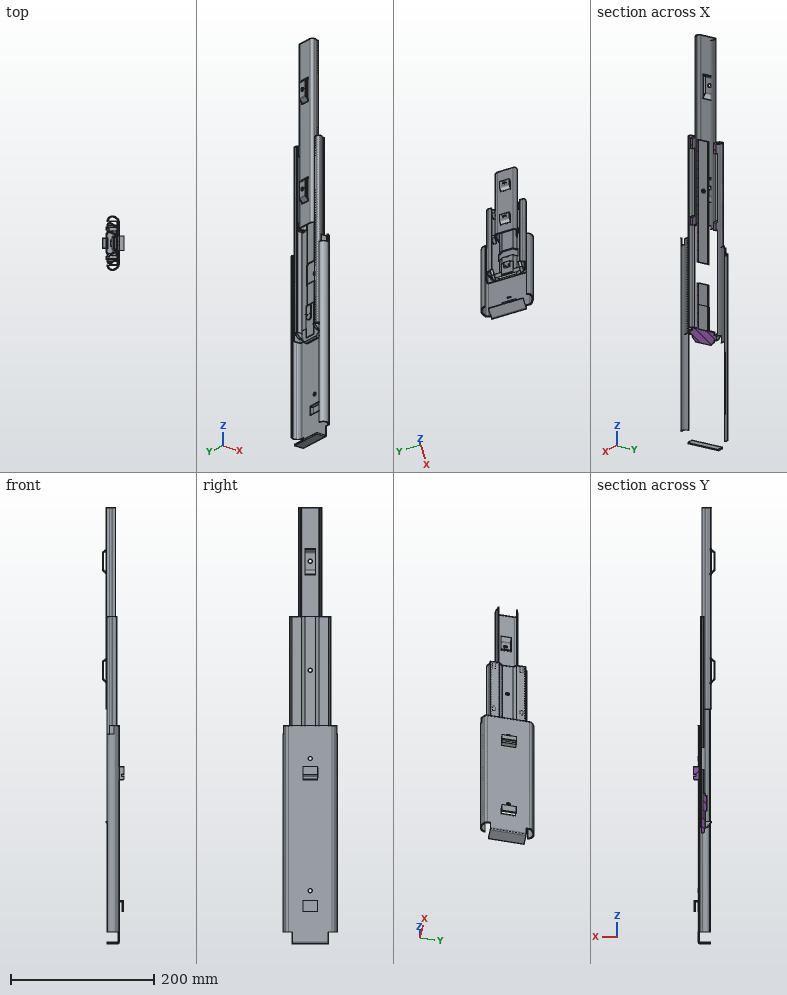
import cadquery as cq
import math


RAIL_LENGTH = 304.8
FRONT_FACE = -23.59
HOOK_REACH = 6.8
HOLE_RADIUS = 2.7
CUT_DEPTH = 100.0
SAME_POINT = 1e-4

OUTER_SHEET = 1.6
OUTER_FRONT = -17.0
OUTER_HALF_WIDTH = 38.095
OUTER_RACE_RADIUS = 7.6
OUTER_RACE_BACK = -4.7
OUTER_CORNER_RADIUS = 5.5
OUTER_FLANGE_BOTTOM = 16.5
FOOT_HALF_WIDTH = 25.4
FOOT_THICKNESS = 2.4
NOTCH_HEIGHT = 11.6
NOTCH_BACK = -7.0
OUTER_HOLES_Z = (74.4, 259.0)

HOOK_SHEET = 1.8
HOOK_HALF_WIDTH = 10.2
LOWER_HOOK_TOP = 60.5
LOWER_HOOK_HEIGHT = 15.5
LOWER_HOOK_REACH = 5.6
UPPER_HOOK_TOP = 247.5
UPPER_HOOK_HEIGHT = 18.5
HOOK_BEVEL = 1.6
HOOK_SLOT_RISE = 5.5
HOOK_SLOT_WIDTH = 2.4
HOOK_SLOT_FLOOR = 3.2
UPPER_HOOK_WINDOW_Y = (-2.0, 10.8)
HOOK_WINDOW_HEIGHT = 15.0

MIDDLE_SHEET = 1.5
MIDDLE_BACK = -3.4
MIDDLE_FRONT = -17.2
MIDDLE_TOP = 457.2
MIDDLE_BOTTOM = 171.2
MIDDLE_HALF_WIDTH = 28.8
MIDDLE_NECK_HALF_WIDTH = 25.2
MIDDLE_LIP_END = 20.6
MIDDLE_LIP_BEND = 3.9
RAISE_HEIGHT = 3.2
RAISE_FOOT_HALF_WIDTH = 12.2
RAISE_TOP_HALF_WIDTH = 7.4
WINDOW_BOTTOM = 243.5
WINDOW_HEIGHT = 31.0
WINDOW_HALF_WIDTH = 14.0
WINDOW_CUT_FRONT = -10.0
BALL_STOP_INNER = 17.2
BALL_STOP_FRONT = -14.0
BALL_STOP_OVERLAP = 1.0
TOP_BALL_STOP_HEIGHT = 15.5
LOWER_BALL_STOP_Z = 327.5
LOWER_BALL_STOP_HEIGHT = 12.0

INNER_SHEET = 1.5
INNER_TOP = 609.6
INNER_LENGTH = 281.6
INNER_FRONT = -18.5
INNER_BACK = -5.2
INNER_HALF_WIDTH = 16.2
INNER_NECK_HALF_WIDTH = 13.8
INNER_BEND = 4.6

CLIP_SHEET = 1.5
CLIP_BEND = 1.8
CLIP_PITCH = 152.4
UPPER_CLIP_HOLE_Z = 534.6
CLIP_HALF_WIDTH = 7.2
CLIP_TOP_RISE = 17.5
CLIP_FLAT_RISE = 12.5
CLIP_FLAT_DROP = 12.5
CLIP_BOTTOM_DROP = 19.0

STOP_TOP = 175.2
STOP_SHOULDER = 161.0
STOP_BOTTOM = 154.6
STOP_HALF_WIDTH = 18.5
STOP_TIP_HALF_WIDTH = 12.5
STOP_BACK = -4.5
STOP_FRONT = -9.0
STOP_LIP_BEVEL = 2.0
EAR_FRONT = -18.4
EAR_HALF_SPAN = 22.5
EAR_BOTTOM = 163.6
EAR_BEVEL = 6.0
TONGUE_TOP = 211.0
TONGUE_HALF_WIDTH = 8.4
TONGUE_THICKNESS = 2.0
TONGUE_BEVEL = 1.8
CATCH_HALF_WIDTH = 4.6
CATCH_BOTTOM = 194.0
CATCH_HEIGHT = 13.0
CATCH_THICKNESS = 2.0
BUTTON_RADIUS = 4.6
BUTTON_Z = 190.0

RETAINER_BOTTOM = 162.3
RETAINER_WEB_HEIGHT = 40.0
RETAINER_SHEET = 1.2
RETAINER_BACK = -2.0
RETAINER_FRONT = -13.5
RETAINER_HALF_WIDTH = 31.2
RETAINER_BEND = 1.8


def round_corner(before, corner, after, radius):
    """Return the start, middle and end points of the arc that rounds one corner."""
    point = cq.Vector(*corner)
    to_before = (cq.Vector(*before) - point).normalized()
    to_after = (cq.Vector(*after) - point).normalized()
    half_angle = to_before.getAngle(to_after) / 2
    setback = radius / math.tan(half_angle)
    to_middle = radius / math.sin(half_angle) - radius
    bisector = (to_before + to_after).normalized()
    return point + to_before * setback, point + bisector * to_middle, point + to_after * setback


def rounded_path(corners, radii):
    """Edges of a path whose inner corners are rounded; a radius of 0 keeps a corner sharp."""
    edges = []
    here = cq.Vector(*corners[0])

    def line_to(end):
        if (end - here).Length > SAME_POINT:
            edges.append(cq.Edge.makeLine(here, end))
        return end

    for i, radius in enumerate(radii[1:-1], start=1):
        if radius == 0:
            here = line_to(cq.Vector(*corners[i]))
        else:
            start, middle, end = round_corner(*corners[i - 1:i + 2], radius)
            line_to(start)
            edges.append(cq.Edge.makeThreePointArc(start, middle, end))
            here = end
    line_to(cq.Vector(*corners[-1]))
    return edges


def side_line(path, offset):
    """Shift a path sideways to its left by `offset`, keeping mitred corners."""
    normals = []
    for start, end in zip(path, path[1:]):
        run = math.dist(start, end)
        normals.append(((start[1] - end[1]) / run, (end[0] - start[0]) / run))
    shifted = []
    for i, (x, y) in enumerate(path):
        a = normals[max(i - 1, 0)]
        b = normals[min(i, len(normals) - 1)]
        scale = offset / (1 + a[0] * b[0] + a[1] * b[1])
        shifted.append((x + (a[0] + b[0]) * scale, y + (a[1] + b[1]) * scale))
    return shifted


def bent_sheet(plane, bends, thickness, length):
    """Extrude sheet metal along a path of (x, y, bend radius) corners lying on one of its faces.

    The other face lies to the left of the path, or to the right if `thickness` is negative.
    A bend radius of 0 makes a sharp corner.
    """
    face = [(x, y) for x, y, _ in bends]
    radii = [radius for _, _, radius in bends]
    far_face = side_line(face, thickness)
    far_radii = radii[:]
    for i in range(1, len(bends) - 1):
        (ax, ay), (bx, by), (cx, cy) = face[i - 1:i + 2]
        turn = (bx - ax) * (cy - by) - (by - ay) * (cx - bx)
        if radii[i]:
            far_radii[i] -= thickness * math.copysign(1, turn)
    edges = rounded_path(face, radii) + rounded_path(far_face, far_radii)
    for end in (0, -1):
        edges.append(cq.Edge.makeLine(cq.Vector(*face[end]), cq.Vector(*far_face[end])))
    outline = cq.Wire.combine(edges)[0]
    sheet = cq.Solid.extrudeLinear(outline, [], cq.Vector(0, 0, length))
    return cq.Workplane("XY").newObject([sheet.moved(plane.location)])


def rail_section(half_bends, thickness, bottom, top):
    """Extrude a rail symmetric about Y = 0 from the bends of its +Y half, centre first."""
    other_half = [(x, -y, radius) for x, y, radius in reversed(half_bends)]
    plane = cq.Plane.XY(origin=(0, 0, bottom))
    return bent_sheet(plane, other_half + half_bends, thickness, top - bottom)


def ball_race_bends(start, end):
    """Two equal and opposite bends that lead a flange along X from `start` to `end` in an S curve."""
    run = end[0] - start[0]
    half_turn = math.atan2(abs(end[1] - start[1]), abs(run))
    setback = run / (2 + 2 * math.cos(2 * half_turn))
    radius = abs(setback) / math.tan(half_turn)
    return [(start[0] + setback, start[1], radius), (end[0] - setback, end[1], radius)]


def block(x_range, y_range, z_range):
    """A box between two limits along each axis."""
    (x0, x1), (y0, y1), (z0, z1) = x_range, y_range, z_range
    return cq.Workplane("XY").box(x1 - x0, y1 - y0, z1 - z0, centered=False).translate((x0, y0, z0))


def centred_block(x_range, half_width, z_range):
    """A box symmetric about Y = 0."""
    return block(x_range, (-half_width, half_width), z_range)


def cross_hole(z):
    """A round cutter along X on the symmetry plane."""
    return cq.Workplane("YZ").center(0, z).circle(HOLE_RADIUS).extrude(CUT_DEPTH / 2, both=True)


def lower_hook():
    """A leg standing off the web with a lip that hangs down from its end."""
    top = LOWER_HOOK_TOP
    leg = centred_block((-OUTER_SHEET, LOWER_HOOK_REACH), HOOK_HALF_WIDTH, (top - HOOK_SHEET, top))
    lip_x = (LOWER_HOOK_REACH - HOOK_SHEET, LOWER_HOOK_REACH)
    return leg.union(centred_block(lip_x, HOOK_HALF_WIDTH, (top - LOWER_HOOK_HEIGHT, top)))


def upper_hook():
    """A deep hook split from its outer side by a slot, with a bevelled lower tip."""
    top = UPPER_HOOK_TOP
    bottom = top - UPPER_HOOK_HEIGHT
    hook = centred_block((-OUTER_SHEET, HOOK_REACH), HOOK_HALF_WIDTH, (bottom, top))
    hook = hook.edges(">X and <Z").chamfer(HOOK_BEVEL)
    slot_z = (bottom + HOOK_SLOT_RISE, bottom + HOOK_SLOT_RISE + HOOK_SLOT_WIDTH)
    return hook.cut(centred_block((HOOK_SLOT_FLOOR, HOOK_REACH), HOOK_HALF_WIDTH, slot_z))


def hook_window(top, y_range):
    """Cutter for the opening that a hook leaves in the web, below the hook's leg."""
    return block((-OUTER_SHEET, 0), y_range, (top - HOOK_WINDOW_HEIGHT, top - HOOK_SHEET))


def make_outer_rail():
    race_x = OUTER_FRONT + OUTER_RACE_RADIUS
    race_y = OUTER_HALF_WIDTH - OUTER_RACE_RADIUS
    lean = math.asin((OUTER_RACE_BACK - race_x) / OUTER_RACE_RADIUS)
    meeting_y = race_y + OUTER_RACE_RADIUS * math.cos(lean)
    corner_setback = -OUTER_RACE_BACK / math.cos(lean)
    race_setback = (OUTER_RACE_BACK - OUTER_FRONT) / math.cos(lean)
    half = [
        (0, meeting_y - corner_setback * math.sin(lean), OUTER_CORNER_RADIUS),
        (OUTER_FRONT, meeting_y + race_setback * math.sin(lean), OUTER_RACE_RADIUS),
        (OUTER_FRONT, race_y, 0),
    ]
    rail = rail_section(half, OUTER_SHEET, OUTER_FLANGE_BOTTOM, RAIL_LENGTH)
    notch_z = (RAIL_LENGTH - NOTCH_HEIGHT, RAIL_LENGTH)
    rail = rail.cut(centred_block((OUTER_FRONT, NOTCH_BACK), OUTER_HALF_WIDTH, notch_z))
    web = centred_block((-OUTER_SHEET, 0), FOOT_HALF_WIDTH, (0, OUTER_FLANGE_BOTTOM))
    foot = centred_block((OUTER_FRONT, 0), FOOT_HALF_WIDTH, (0, FOOT_THICKNESS))
    foot = foot.union(web).edges(">X and <Z").fillet(FOOT_THICKNESS)
    rail = rail.union(foot)
    for z in OUTER_HOLES_Z:
        rail = rail.cut(cross_hole(z))
    lower_y = (-HOOK_HALF_WIDTH, HOOK_HALF_WIDTH)
    rail = rail.cut(hook_window(LOWER_HOOK_TOP, lower_y)).union(lower_hook())
    return rail.cut(hook_window(UPPER_HOOK_TOP, UPPER_HOOK_WINDOW_Y)).union(upper_hook())


def make_middle_rail():
    race_start = (MIDDLE_BACK - MIDDLE_SHEET, MIDDLE_NECK_HALF_WIDTH)
    race_end = (MIDDLE_FRONT + MIDDLE_LIP_BEND, MIDDLE_HALF_WIDTH)
    half = [
        (MIDDLE_BACK - RAISE_HEIGHT, RAISE_TOP_HALF_WIDTH, 0),
        (MIDDLE_BACK, RAISE_FOOT_HALF_WIDTH, 0),
        (MIDDLE_BACK, MIDDLE_NECK_HALF_WIDTH, 0),
        *ball_race_bends(race_start, race_end),
        (MIDDLE_FRONT, MIDDLE_HALF_WIDTH, MIDDLE_LIP_BEND),
        (MIDDLE_FRONT, MIDDLE_LIP_END, 0),
    ]
    rail = rail_section(half, MIDDLE_SHEET, MIDDLE_BOTTOM, MIDDLE_TOP)
    window_z = (WINDOW_BOTTOM, WINDOW_BOTTOM + WINDOW_HEIGHT)
    rail = rail.cut(centred_block((WINDOW_CUT_FRONT, 0), WINDOW_HALF_WIDTH, window_z))
    rail = rail.cut(cross_hole(UPPER_CLIP_HOLE_Z - CLIP_PITCH))
    stops = (
        (MIDDLE_TOP - TOP_BALL_STOP_HEIGHT, TOP_BALL_STOP_HEIGHT),
        (LOWER_BALL_STOP_Z, LOWER_BALL_STOP_HEIGHT),
    )
    stop_x = (BALL_STOP_FRONT, MIDDLE_BACK - BALL_STOP_OVERLAP)
    stop_y = (BALL_STOP_INNER, MIDDLE_LIP_END + BALL_STOP_OVERLAP)
    for z, height in stops:
        stop = block(stop_x, stop_y, (z, z + height))
        rail = rail.union(stop).union(stop.mirror("XZ"))
    return rail.union(end_stop())


def end_stop():
    """A tapered block below the rail, with a tongue that runs up the raised band of the web."""
    half = [
        (STOP_HALF_WIDTH, STOP_TOP),
        (STOP_HALF_WIDTH, STOP_SHOULDER),
        (STOP_TIP_HALF_WIDTH, STOP_BOTTOM),
    ]
    outline = half + [(-y, z) for y, z in reversed(half)]
    depth = STOP_BACK - STOP_FRONT
    stop = cq.Workplane("YZ", origin=(STOP_FRONT, 0, 0)).polyline(outline).close().extrude(depth)
    stop = stop.edges("<X and <Z").chamfer(STOP_LIP_BEVEL)
    ear = block((EAR_FRONT, STOP_BACK), (STOP_HALF_WIDTH, EAR_HALF_SPAN), (EAR_BOTTOM, MIDDLE_BOTTOM))
    ear = ear.edges("<X and <Z").chamfer(EAR_BEVEL)
    stop = stop.union(ear).union(ear.mirror("XZ"))

    web_front = MIDDLE_BACK - RAISE_HEIGHT - MIDDLE_SHEET
    tongue_front = web_front - TONGUE_THICKNESS
    tongue = centred_block((tongue_front, web_front), TONGUE_HALF_WIDTH, (STOP_SHOULDER, TONGUE_TOP))
    tongue = tongue.edges("<X and >Z").chamfer(TONGUE_BEVEL)
    catch_x = (tongue_front - CATCH_THICKNESS, tongue_front)
    catch = centred_block(catch_x, CATCH_HALF_WIDTH, (CATCH_BOTTOM, CATCH_BOTTOM + CATCH_HEIGHT))
    button_plane = cq.Workplane("YZ", origin=(catch_x[0], 0, BUTTON_Z))
    button = button_plane.circle(BUTTON_RADIUS).extrude(CATCH_THICKNESS)
    return stop.union(tongue).union(catch).union(button)


def bridge_clip(hole_z):
    """A bridge of bent strip that stands forward of the inner rail's web and merges into it."""
    web_back = INNER_FRONT + INNER_SHEET
    bends = [
        (web_back, hole_z - CLIP_BOTTOM_DROP, 0),
        (FRONT_FACE, hole_z - CLIP_FLAT_DROP, CLIP_BEND),
        (FRONT_FACE, hole_z + CLIP_FLAT_RISE, CLIP_BEND),
        (web_back, hole_z + CLIP_TOP_RISE, 0),
    ]
    plane = cq.Plane(origin=(0, CLIP_HALF_WIDTH, 0), xDir=(1, 0, 0), normal=(0, -1, 0))
    return bent_sheet(plane, bends, -CLIP_SHEET, 2 * CLIP_HALF_WIDTH)


def make_inner_rail():
    race_start = (INNER_FRONT + INNER_BEND, INNER_HALF_WIDTH)
    race_end = (INNER_BACK, INNER_NECK_HALF_WIDTH)
    half = [
        (INNER_FRONT, INNER_HALF_WIDTH, INNER_BEND),
        *ball_race_bends(race_start, race_end),
        (*race_end, 0),
    ]
    rail = rail_section(half, -INNER_SHEET, INNER_TOP - INNER_LENGTH, INNER_TOP)
    web_x = (INNER_FRONT, INNER_FRONT + INNER_SHEET)
    for hole_z in (UPPER_CLIP_HOLE_Z, UPPER_CLIP_HOLE_Z - CLIP_PITCH):
        opening_z = (hole_z - CLIP_BOTTOM_DROP, hole_z + CLIP_TOP_RISE)
        rail = rail.cut(centred_block(web_x, CLIP_HALF_WIDTH, opening_z))
        rail = rail.union(bridge_clip(hole_z)).cut(cross_hole(hole_z))
    return rail


def make_ball_retainer():
    """Two long arms beside the middle rail, joined by a short web at their lower end."""
    half = [
        (RETAINER_BACK, RETAINER_HALF_WIDTH, RETAINER_BEND),
        (RETAINER_FRONT, RETAINER_HALF_WIDTH, 0),
    ]
    retainer = rail_section(half, RETAINER_SHEET, RETAINER_BOTTOM, RAIL_LENGTH)
    inner_half_width = RETAINER_HALF_WIDTH - RETAINER_BEND
    opening_z = (RETAINER_BOTTOM + RETAINER_WEB_HEIGHT, RAIL_LENGTH)
    return retainer.cut(centred_block((RETAINER_FRONT, 0), inner_half_width, opening_z))


outer_rail = make_outer_rail()
middle_rail = make_middle_rail()
inner_rail = make_inner_rail()
ball_retainer = make_ball_retainer()

bodies = (outer_rail, middle_rail, inner_rail, ball_retainer)
result = cq.Compound.makeCompound([solid for body in bodies for solid in body.solids().vals()])